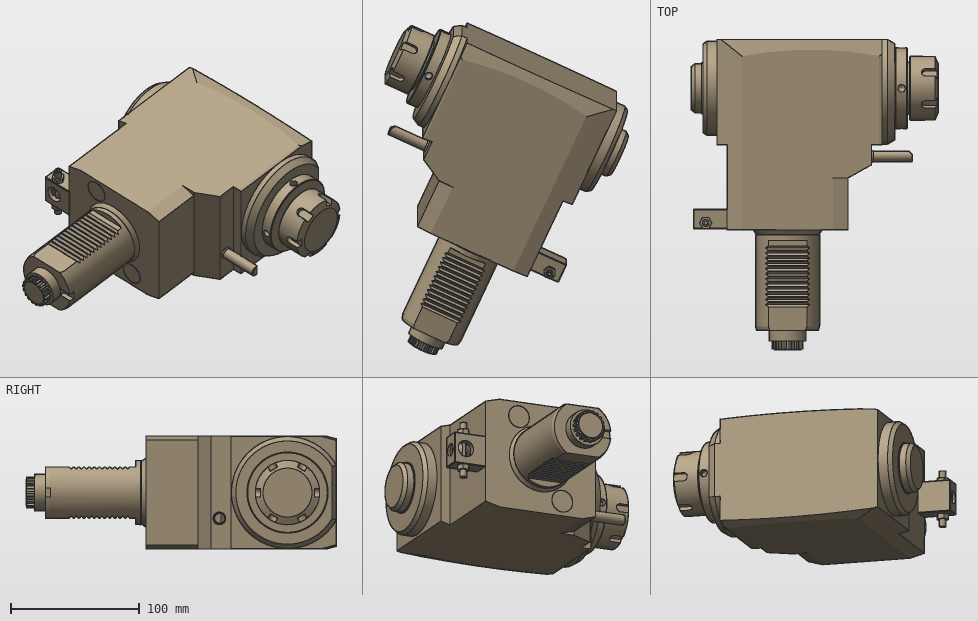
import cadquery as cq
import math

EPS = 1.0

HALF_HEIGHT = 44.0
BACK_Y = 148.0
SPINDLE_Y = 110.0
HEAD_LEFT = -54.9
HEAD_RIGHT = 73.2
HALF_WIDTH = 47.0
STEP_Y = 66.0
LUG_RIGHT = 65.2
LUG_LOW_Y = 50.6
LUG_BASE_Y = 40.4
BEVEL_ANGLE = math.radians(15)
BEVEL_INNER = 35.3
TURNED_RADIUS = 281.0
TURNED_REACH = 41.0
TURNED_X = 18.5
TURNED_PEAK_Y = 139.9
END_BEVEL_LENGTH = 2.0
END_BEVEL_HEIGHT = 0.5

PLUG_DIAMETER = 17.7
PLUG_X = 18.5
PLUG_Z = 32.0
PLUG_RECESS = 0.3

SHANK_RADIUS = 25.0
SHANK_LENGTH = 78.0
COLLAR_RADIUS = 26.8
COLLAR_RIM_RADIUS = 25.5
COLLAR_RIM_DEPTH = 2.0
RELIEF_RADIUS = 24.5
RELIEF_START = 3.5
RELIEF_END = 4.0
SHANK_CHAMFER_LENGTH = 3.0
SHANK_CHAMFER_DEPTH = 0.8
FLAT_HALF = 20.0
FLAT_START = 8.0
TOOTH_PITCH = 4.0
TOOTH_COUNT = 12
FIRST_GROOVE = 14.0
GROOVE_DEPTH = 1.7
KEYWAY_WIDTH = 6.8
KEYWAY_DEPTH = 4.0
KEYWAY_INNER = 14.5

JOURNAL_RADIUS = 14.4
JOURNAL_END = 86.3
SPLINE_END = 93.0
SPLINE_ROOT = 10.2
SPLINE_TIP = 12.0
SPLINE_TEETH = 18
SPLINE_TOOTH_WIDTH = 1.8
SPLINE_END_SETBACK = 0.5

COVER_RADIUS = 36.6
COVER_END = -65.9
COVER_CHAMFER_LENGTH = 3.3
COVER_CHAMFER_DEPTH = 2.2
KNOB_RADIUS = 19.2
KNOB_BASE_RADIUS = 20.0
KNOB_BASE_LENGTH = 0.8
KNOB_END = -74.9
KNOB_CHAMFER_LENGTH = 3.0
KNOB_CHAMFER_DEPTH = 2.4

FLANGE_RADIUS = 43.5
FLANGE_END = 83.3
FLANGE_BEVEL_LENGTH = 5.7
FLANGE_BEVEL_DEPTH = 3.4
NECK_RADIUS = 20.3
RING_RADIUS = 31.5
RING_START = 84.0
RING_END = 93.0
RING_HOLES = 4
RING_HOLE_DIAMETER = 5.8
RING_CHAMFER = 0.6
RING_HOLE_DEPTH = 5.0
RING_HOLE_TIP = 1.7
NUT_RADIUS = 25.0
NUT_START = 94.8
NUT_END = 117.0
NUT_CHAMFER_LENGTH = 2.6
NUT_CHAMFER_DEPTH = 6.0
NUT_REAR_CHAMFER = 0.7
NUT_SLOTS = 6
NUT_SLOT_WIDTH = 6.6
NUT_SLOT_START = 104.0
NUT_SLOT_DEPTH = 4.0

PIN_RADIUS = 4.2
PIN_Y = 57.1
PIN_Z = -20.0
PIN_END = 97.0
PIN_BEVEL = 2.9
PIN_TIP_CHAMFER = 0.5
PIN_FOOT_RADIUS = 4.9
PIN_FOOT_LENGTH = 1.3

BLOCK_LEFT = -73.2
BLOCK_LOW_Y = 0.8
BLOCK_HIGH_Y = 16.3
BLOCK_HALF_HEIGHT = 12.5
BLOCK_SCREW_X = -63.6
BLOCK_SCREW_Y = 5.5
BLOCK_CHAMFER = 0.6
SCREW_RADIUS = 2.7
SCREW_TOP = 22.0
SCREW_NUT_CORNERS = 9.6
SCREW_NUT_TOP = 16.3
SOCKET_DIAMETER = 3.0
SOCKET_DEPTH = 2.5
BALL_RADIUS = 6.5
BALL_SLOT_OFFSET = -0.7
BALL_SLOT_WIDTH = 3.6
BALL_SLOT_DEPTH = 3.5
SIDE_BORE_DIAMETER = 9.8
SIDE_BORE_DEPTH = 2.0
SIDE_PORT_DIAMETER = 3.2
SIDE_PORT_DEPTH = 4.0



def box(x0, x1, y0, y1, z0, z1):
    return cq.Workplane("XY").box(x1 - x0, y1 - y0, z1 - z0, centered=False).translate((x0, y0, z0))


def spindle_turning(points):
    """Turn an (x, radius) outline about the spindle axis."""
    outline = cq.Workplane("XY").polyline(points).close()
    return outline.revolve(360, (0, 0, 0), (1, 0, 0)).translate((0, SPINDLE_Y, 0))


def shank_turning(points):
    """Turn a (radius, distance below the shoulder) outline about the shank axis."""
    outline = cq.Workplane("XY").polyline([(r, -d) for r, d in points]).close()
    return outline.revolve(360, (0, 0, 0), (0, 1, 0))


def on_both_faces(part):
    return part.union(part.mirror("XY"))


def side_bevel(sign, outer_x, y0, y1):
    """Wedge removed from both flat faces along one side of the housing."""
    x_in = sign * BEVEL_INNER
    x_out = sign * (outer_x + EPS)
    drop = abs(x_out - x_in) * math.tan(BEVEL_ANGLE)
    wedge = (
        cq.Workplane("XZ", origin=(0, y1, 0))
        .polyline([(x_in, HALF_HEIGHT), (x_out, HALF_HEIGHT), (x_out, HALF_HEIGHT - drop)])
        .close()
        .extrude(y1 - y0)
    )
    return on_both_faces(wedge)


def make_back_bevel():
    """Region outside a large cone about a Z axis, which bevels the back of both flat faces."""
    wide = TURNED_RADIUS + TURNED_REACH
    depth = TURNED_REACH * math.tan(BEVEL_ANGLE)
    outline = [(TURNED_RADIUS, HALF_HEIGHT), (wide, HALF_HEIGHT), (wide, HALF_HEIGHT - depth)]
    ring = cq.Workplane("XZ").polyline(outline).close().revolve(360, (0, 0, 0), (0, 1, 0))
    ring = ring.translate((TURNED_X, TURNED_PEAK_Y - TURNED_RADIUS, 0))
    back = box(HEAD_LEFT - EPS, HEAD_RIGHT + EPS, SPINDLE_Y, BACK_Y + EPS, -HALF_HEIGHT, HALF_HEIGHT)
    return on_both_faces(ring.intersect(back))


def make_end_bevel():
    wedge = (
        cq.Workplane("XZ", origin=(0, BACK_Y + EPS, 0))
        .polyline([
            (HEAD_RIGHT - END_BEVEL_LENGTH, HALF_HEIGHT),
            (HEAD_RIGHT, HALF_HEIGHT),
            (HEAD_RIGHT, HALF_HEIGHT - END_BEVEL_HEIGHT),
        ])
        .close()
        .extrude(BACK_Y + EPS - STEP_Y)
    )
    return on_both_faces(wedge)


def make_housing():
    outline = [
        (-HALF_WIDTH, 0),
        (HALF_WIDTH, 0),
        (HALF_WIDTH, LUG_BASE_Y),
        (LUG_RIGHT, LUG_LOW_Y),
        (LUG_RIGHT, STEP_Y),
        (HEAD_RIGHT, STEP_Y),
        (HEAD_RIGHT, BACK_Y),
        (HEAD_LEFT, BACK_Y),
        (HEAD_LEFT, STEP_Y),
        (-HALF_WIDTH, STEP_Y),
    ]
    body = cq.Workplane("XY").polyline(outline).close().extrude(HALF_HEIGHT, both=True)
    body = body.cut(side_bevel(-1, -HEAD_LEFT, -EPS, BACK_Y + EPS))
    body = body.cut(side_bevel(1, HALF_WIDTH, -EPS, LUG_BASE_Y))
    body = body.cut(make_back_bevel()).cut(make_end_bevel())
    plugs = (
        cq.Workplane("XZ")
        .pushPoints([(-PLUG_X, PLUG_Z), (PLUG_X, -PLUG_Z)])
        .circle(PLUG_DIAMETER / 2)
        .extrude(-PLUG_RECESS)
    )
    return body.cut(plugs)


def make_flat_cut():
    """Material above the clamping flat, with its row of V grooves, on both faces."""
    flat = box(
        -COLLAR_RADIUS, COLLAR_RADIUS, -SHANK_LENGTH, -FLAT_START, FLAT_HALF, COLLAR_RADIUS
    )
    for index in range(TOOTH_COUNT):
        centre = -FIRST_GROOVE - index * TOOTH_PITCH
        groove = (
            cq.Workplane("YZ", origin=(-COLLAR_RADIUS, 0, 0))
            .polyline([
                (centre - GROOVE_DEPTH, FLAT_HALF),
                (centre + GROOVE_DEPTH, FLAT_HALF),
                (centre, FLAT_HALF - GROOVE_DEPTH),
            ])
            .close()
            .extrude(2 * COLLAR_RADIUS)
        )
        flat = flat.union(groove)
    return on_both_faces(flat)


def make_shank():
    shank = shank_turning([
        (0, -EPS),
        (COLLAR_RADIUS, -EPS),
        (COLLAR_RADIUS, 0),
        (COLLAR_RIM_RADIUS, COLLAR_RIM_DEPTH),
        (RELIEF_RADIUS, RELIEF_START),
        (SHANK_RADIUS, RELIEF_END),
        (SHANK_RADIUS, SHANK_LENGTH - SHANK_CHAMFER_LENGTH),
        (SHANK_RADIUS - SHANK_CHAMFER_DEPTH, SHANK_LENGTH),
        (0, SHANK_LENGTH),
    ])
    keyway = box(
        KEYWAY_INNER, SHANK_RADIUS + EPS,
        -SHANK_LENGTH - EPS, -SHANK_LENGTH + KEYWAY_DEPTH,
        -KEYWAY_WIDTH / 2, KEYWAY_WIDTH / 2,
    )
    return shank.cut(make_flat_cut()).cut(keyway)


def make_drive():
    drive = shank_turning([
        (0, SHANK_LENGTH - EPS),
        (JOURNAL_RADIUS, SHANK_LENGTH - EPS),
        (JOURNAL_RADIUS, JOURNAL_END),
        (SPLINE_ROOT, JOURNAL_END),
        (SPLINE_ROOT, SPLINE_END),
        (0, SPLINE_END),
    ])
    tooth = box(
        SPLINE_ROOT - EPS, SPLINE_TIP,
        SPLINE_END_SETBACK - SPLINE_END, -JOURNAL_END + EPS,
        -SPLINE_TOOTH_WIDTH / 2, SPLINE_TOOTH_WIDTH / 2,
    )
    for index in range(SPLINE_TEETH):
        drive = drive.union(tooth.rotate((0, 0, 0), (0, 1, 0), index * 360 / SPLINE_TEETH))
    return drive


def make_cover():
    return spindle_turning([
        (HEAD_LEFT + EPS, 0),
        (HEAD_LEFT + EPS, COVER_RADIUS),
        (COVER_END + COVER_CHAMFER_LENGTH, COVER_RADIUS),
        (COVER_END, COVER_RADIUS - COVER_CHAMFER_DEPTH),
        (COVER_END, KNOB_BASE_RADIUS),
        (COVER_END - KNOB_BASE_LENGTH, KNOB_BASE_RADIUS),
        (COVER_END - KNOB_BASE_LENGTH, KNOB_RADIUS),
        (KNOB_END + KNOB_CHAMFER_LENGTH, KNOB_RADIUS),
        (KNOB_END, KNOB_RADIUS - KNOB_CHAMFER_DEPTH),
        (KNOB_END, 0),
    ])


def make_flange():
    """Round flange trimmed flush with the back, its whole outer rim bevelled."""
    start = HEAD_RIGHT - EPS
    disc = cq.Workplane("YZ", origin=(start, SPINDLE_Y, 0)).circle(FLANGE_RADIUS).extrude(FLANGE_END - start)
    trim = box(start - EPS, FLANGE_END + EPS, BACK_Y, BACK_Y + FLANGE_RADIUS, -FLANGE_RADIUS, FLANGE_RADIUS)
    return disc.cut(trim).faces(">X").chamfer(FLANGE_BEVEL_LENGTH, FLANGE_BEVEL_DEPTH)


def make_ring_holes():
    """Four radial drillings with conical floors."""
    radius = RING_HOLE_DIAMETER / 2
    floor = RING_RADIUS - RING_HOLE_DEPTH
    hole = (
        cq.Workplane("XZ")
        .polyline([
            (0, floor - RING_HOLE_TIP),
            (radius, floor),
            (radius, RING_RADIUS + EPS),
            (0, RING_RADIUS + EPS),
        ])
        .close()
        .revolve(360, (0, 0, 0), (0, 1, 0))
        .translate(((RING_START + RING_END) / 2, SPINDLE_Y, 0))
    )
    holes = hole
    for index in range(1, RING_HOLES):
        holes = holes.union(hole.rotate((0, SPINDLE_Y, 0), (1, SPINDLE_Y, 0), index * 360 / RING_HOLES))
    return holes


def make_nut_slots():
    """Wrench slots with round ends; one of them faces the shank side."""
    radius = NUT_SLOT_WIDTH / 2
    floor = SPINDLE_Y - NUT_RADIUS + NUT_SLOT_DEPTH
    length = NUT_END + EPS - NUT_SLOT_START - radius
    slot = (
        cq.Workplane("XZ", origin=(NUT_SLOT_START + radius, floor, 0))
        .moveTo(length, radius)
        .lineTo(0, radius)
        .threePointArc((-radius, 0), (0, -radius))
        .lineTo(length, -radius)
        .close()
        .extrude(NUT_SLOT_DEPTH + EPS)
    )
    slots = slot
    for index in range(1, NUT_SLOTS):
        slots = slots.union(slot.rotate((0, SPINDLE_Y, 0), (1, SPINDLE_Y, 0), index * 360 / NUT_SLOTS))
    return slots


def make_nose():
    nose = spindle_turning([
        (FLANGE_END - EPS, 0),
        (FLANGE_END - EPS, NECK_RADIUS),
        (RING_START, NECK_RADIUS),
        (RING_START, RING_RADIUS),
        (RING_END - RING_CHAMFER, RING_RADIUS),
        (RING_END, RING_RADIUS - RING_CHAMFER),
        (RING_END, NECK_RADIUS),
        (NUT_START, NECK_RADIUS),
        (NUT_START, NUT_RADIUS - NUT_REAR_CHAMFER),
        (NUT_START + NUT_REAR_CHAMFER, NUT_RADIUS),
        (NUT_END - NUT_CHAMFER_LENGTH, NUT_RADIUS),
        (NUT_END, NUT_RADIUS - NUT_CHAMFER_DEPTH),
        (NUT_END, 0),
    ])
    return nose.cut(make_ring_holes()).cut(make_nut_slots())


def make_pin():
    outline = [
        (LUG_RIGHT - EPS, 0),
        (LUG_RIGHT - EPS, PIN_FOOT_RADIUS),
        (LUG_RIGHT, PIN_FOOT_RADIUS),
        (LUG_RIGHT + PIN_FOOT_LENGTH, PIN_RADIUS),
        (PIN_END - PIN_TIP_CHAMFER, PIN_RADIUS),
        (PIN_END, PIN_RADIUS - PIN_TIP_CHAMFER),
        (PIN_END, 0),
    ]
    pin = cq.Workplane("XY").polyline(outline).close().revolve(360, (0, 0, 0), (1, 0, 0))
    pin = pin.translate((0, PIN_Y, PIN_Z))
    top = PIN_Y + PIN_RADIUS
    bevel = (
        cq.Workplane("XY", origin=(0, 0, PIN_Z - PIN_RADIUS))
        .polyline([(PIN_END - PIN_BEVEL, top), (PIN_END, top), (PIN_END, top - PIN_BEVEL)])
        .close()
        .extrude(2 * PIN_RADIUS)
    )
    return pin.cut(bevel)


def make_ball_seat():
    """Cut that leaves a slotted ball nozzle sunk flush in the front of the coolant block."""
    mouth = cq.Workplane("XZ", origin=(BLOCK_SCREW_X, BLOCK_LOW_Y, 0))
    bore = mouth.circle(BALL_RADIUS).extrude(-BALL_RADIUS)
    ball = cq.Workplane("XY").sphere(BALL_RADIUS).translate((BLOCK_SCREW_X, BLOCK_LOW_Y + BALL_RADIUS, 0))
    slot_x = BLOCK_SCREW_X + BALL_SLOT_OFFSET
    slot = box(
        slot_x - BALL_SLOT_WIDTH / 2, slot_x + BALL_SLOT_WIDTH / 2,
        BLOCK_LOW_Y, BLOCK_LOW_Y + BALL_SLOT_DEPTH,
        -BALL_RADIUS, BALL_RADIUS,
    )
    return bore.cut(ball).union(slot.intersect(bore))


def make_block_screw():
    """Hexagon with a socketed screw end, standing on the top of the coolant block."""
    seat = cq.Workplane("XY", origin=(BLOCK_SCREW_X, BLOCK_SCREW_Y, BLOCK_HALF_HEIGHT - EPS))
    screw = seat.circle(SCREW_RADIUS).extrude(SCREW_TOP - BLOCK_HALF_HEIGHT + EPS)
    screw = screw.faces(">Z").workplane().hole(SOCKET_DIAMETER, SOCKET_DEPTH)
    nut = seat.polygon(6, SCREW_NUT_CORNERS).extrude(SCREW_NUT_TOP - BLOCK_HALF_HEIGHT + EPS)
    return screw.union(nut)


def make_coolant_block():
    block = box(
        BLOCK_LEFT, -HALF_WIDTH + EPS,
        BLOCK_LOW_Y, BLOCK_HIGH_Y,
        -BLOCK_HALF_HEIGHT, BLOCK_HALF_HEIGHT,
    )
    block = block.edges("not >X").chamfer(BLOCK_CHAMFER)
    side = cq.Workplane("YZ", origin=(BLOCK_LEFT, (BLOCK_LOW_Y + BLOCK_HIGH_Y) / 2, 0))
    side_bore = side.circle(SIDE_BORE_DIAMETER / 2).extrude(SIDE_BORE_DEPTH)
    side_port = side.circle(SIDE_PORT_DIAMETER / 2).extrude(SIDE_PORT_DEPTH)
    block = block.cut(make_ball_seat()).cut(side_bore).cut(side_port)
    return block.union(on_both_faces(make_block_screw()))


result = make_housing()
for piece in (
    make_shank(),
    make_drive(),
    make_cover(),
    make_flange(),
    make_nose(),
    make_pin(),
    make_coolant_block(),
):
    result = result.union(piece)